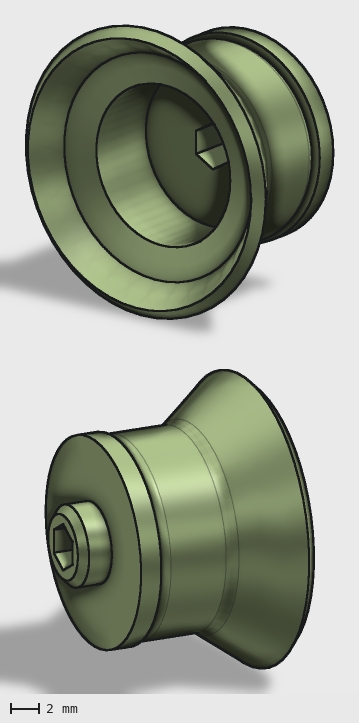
import cadquery as cq
import math

total_length = 15.0
rim_edge_y = 0.75
body_end_y = 11.0
flange_end_y = 12.6

rim_radius = 21.5 / 2
rim_chamfer = rim_edge_y
body_radius = 15.0 / 2
cone_foot_y = 5.25
cone_fillet_radius = 1.5
body_end_fillet = 0.9
flange_radius = 15.5 / 2
pin_radius = 6.0 / 2
pin_chamfer = 0.6

mouth_radius = rim_radius - rim_chamfer
mouth_end_radius = 16.85 / 2
mouth_end_y = 2.2
bore_radius = 12.0 / 2
bore_start_y = 2.8
bore_floor_y = 8.6
hex_across_flats = 3.0


def revolve_about_y(profile):
    """Close a half profile drawn in XY (X is the radius) and turn it about the Y axis."""
    return profile.close().revolve(360, (0, 0, 0), (0, 1, 0))


def make_body():
    """Flared rim, cone and cylindrical body, with a rounded foot between cone and body."""
    cone_angle = math.atan2(rim_radius - body_radius, cone_foot_y - rim_edge_y)
    tangent_length = cone_fillet_radius * math.tan(cone_angle / 2)
    arc_centre_x = body_radius + cone_fillet_radius
    arc_centre_y = cone_foot_y + tangent_length

    def foot_arc_point(angle):
        return (
            arc_centre_x - cone_fillet_radius * math.cos(angle),
            arc_centre_y - cone_fillet_radius * math.sin(angle),
        )

    rounding_middle = body_end_fillet * (1 - math.sqrt(0.5))
    profile = (
        cq.Workplane("XY")
        .moveTo(0, 0)
        .lineTo(mouth_radius, 0)
        .lineTo(rim_radius, rim_edge_y)
        .lineTo(*foot_arc_point(cone_angle))
        .threePointArc(foot_arc_point(cone_angle / 2), foot_arc_point(0))
        .lineTo(body_radius, body_end_y - body_end_fillet)
        .threePointArc(
            (body_radius - rounding_middle, body_end_y - rounding_middle),
            (body_radius - body_end_fillet, body_end_y),
        )
        .lineTo(0, body_end_y)
    )
    return revolve_about_y(profile)


def make_flange_and_pin():
    """Thin flange behind the body, carrying the chamfered pin."""
    profile = (
        cq.Workplane("XY")
        .moveTo(0, body_end_y)
        .lineTo(flange_radius, body_end_y)
        .lineTo(flange_radius, flange_end_y)
        .lineTo(pin_radius, flange_end_y)
        .lineTo(pin_radius, total_length - pin_chamfer)
        .lineTo(pin_radius - pin_chamfer, total_length)
        .lineTo(0, total_length)
    )
    return revolve_about_y(profile)


def make_cavity():
    """Conical mouth, shallow conical shoulder and flat-bottomed bore."""
    profile = (
        cq.Workplane("XY")
        .moveTo(0, 0)
        .lineTo(mouth_radius, 0)
        .lineTo(mouth_end_radius, mouth_end_y)
        .lineTo(bore_radius, bore_start_y)
        .lineTo(bore_radius, bore_floor_y)
        .lineTo(0, bore_floor_y)
    )
    return revolve_about_y(profile)


def make_hex_hole():
    """Hexagonal through hole along Y, with two corners on the Z axis."""
    hex_across_corners = hex_across_flats / math.cos(math.radians(30))
    return (
        cq.Workplane("XZ")
        .transformed(rotate=(0, 0, 90))
        .polygon(6, hex_across_corners)
        .extrude(-total_length)
    )


result = make_body().union(make_flange_and_pin()).cut(make_cavity()).cut(make_hex_hole())